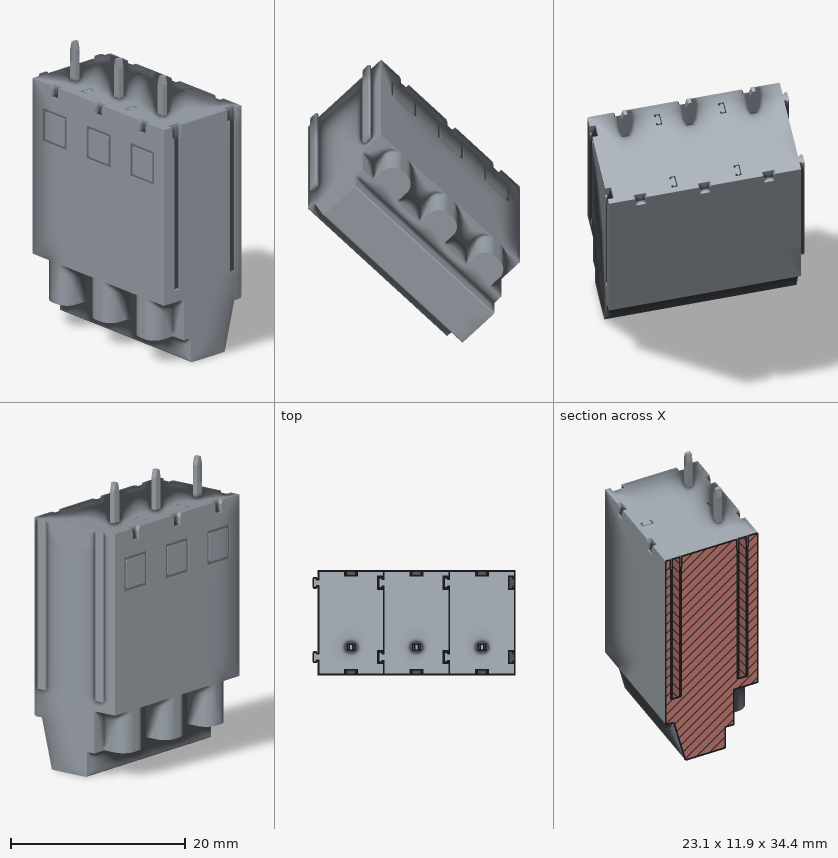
import cadquery as cq


MODULE_COUNT = 3
OVERALL_WIDTH = 23.1
TONGUE_REACH = 0.6
PITCH = (OVERALL_WIDTH - TONGUE_REACH) / MODULE_COUNT
MID_X = PITCH / 2
DEPTH = 11.9
TOTAL_HEIGHT = 34.35
PIN_LENGTH = 4.8
TOP_Z = TOTAL_HEIGHT - PIN_LENGTH

FOOT_FRONT_Y = 4.15
FOOT_BACK_Y = 9.35
FOOT_EDGE = 0.2
SLOPE_TOP_Y = 10.82
BACK_LEDGE_Z = 5.95

RECESS_BOTTOM_Z = 3.0
RECESS_TOP_Z = 8.0
RECESS_DEPTH = 3.05
POST_WIDTH = 3.85
POST_EDGE_RADIUS = 1.55

TONGUE_CENTERS_Y = (2.0, 10.5)
TONGUE_BOTTOM_Z = 9.45
HEAD_WIDTH = 1.2
HEAD_THICKNESS = 0.3
HEAD_CHAMFER = 0.15
NECK_WIDTH = 0.8
NECK_LENGTH = 0.15
SLOT_DEPTH = 0.7
SLOT_WIDTH = 1.45
LIP_THICKNESS = 0.25
LIP_INSET_Z = 1.45

NOTCH_WIDTH = 1.1
NOTCH_FLARE = 0.17
NOTCH_FLARE_HEIGHT = 0.48
NOTCH_HEIGHT = 1.45
NOTCH_DEPTH = 0.55

FRAME_SIZE = 4.1
PAD_SIZE = 3.35
PAD_CORNER_RADIUS = 0.2
FRAME_DEPTH = 0.17
FRAME_CENTER_Z = 24.32

PIN_WIDTH = 0.9
PIN_THICKNESS = 0.65
PIN_CENTER_Y = 3.13
PIN_TIP_WIDTH = 0.4
PIN_TAPER_HEIGHT = 0.95


def block():
    """Side outline of the module, extruded over one pitch."""
    outline = [
        (0, TOP_Z),
        (0, RECESS_BOTTOM_Z),
        (FOOT_FRONT_Y, RECESS_BOTTOM_Z),
        (FOOT_FRONT_Y, 0),
        (FOOT_BACK_Y, 0),
        (SLOPE_TOP_Y, BACK_LEDGE_Z),
        (DEPTH, BACK_LEDGE_Z),
        (DEPTH, TOP_Z),
    ]
    body = cq.Workplane("YZ").polyline(outline).close().extrude(PITCH)
    body = body.faces("<Z").edges("|X").fillet(FOOT_EDGE)
    ledge_corner = cq.selectors.NearestToPointSelector((MID_X, DEPTH, BACK_LEDGE_Z))
    return body.edges(ledge_corner).fillet(FOOT_EDGE)


def recess():
    """Front recess, leaving the round-edged post standing in the middle."""
    height = RECESS_TOP_Z - RECESS_BOTTOM_Z
    post = cq.Workplane("XY", origin=(MID_X, 0, RECESS_BOTTOM_Z)).box(
        POST_WIDTH, RECESS_DEPTH, height, centered=(True, False, False)
    )
    post = post.faces("<Y").edges("|Z").fillet(POST_EDGE_RADIUS)
    pocket = cq.Workplane("XY", origin=(0, 0, RECESS_BOTTOM_Z)).box(
        PITCH, RECESS_DEPTH, height, centered=False
    )
    return pocket.cut(post)


def tongue(center_y):
    """T-shaped tongue with sloping shoulders and chamfered corners on the left wall."""
    head = HEAD_WIDTH / 2
    neck = NECK_WIDTH / 2
    face = head - HEAD_CHAMFER
    chamfer_x = TONGUE_REACH - HEAD_CHAMFER
    shoulder_x = HEAD_THICKNESS - TONGUE_REACH
    outline = [
        (0, neck),
        (-NECK_LENGTH, neck),
        (shoulder_x, head),
        (-chamfer_x, head),
        (-TONGUE_REACH, face),
        (-TONGUE_REACH, -face),
        (-chamfer_x, -head),
        (shoulder_x, -head),
        (-NECK_LENGTH, -neck),
        (0, -neck),
    ]
    return (
        cq.Workplane("XY", origin=(0, center_y, TONGUE_BOTTOM_Z))
        .polyline(outline)
        .close()
        .extrude(TOP_Z - TONGUE_BOTTOM_Z)
    )


def slot(center_y):
    """Slot in the right wall: open at the top, narrowed by two lips below."""
    height = TOP_Z - TONGUE_BOTTOM_Z
    pocket = cq.Workplane("XY", origin=(PITCH - SLOT_DEPTH, center_y, TONGUE_BOTTOM_Z)).box(
        SLOT_DEPTH, SLOT_WIDTH, height, centered=(False, True, False)
    )
    wall = SLOT_WIDTH / 2
    neck = NECK_WIDTH / 2
    lip = [
        (0, neck),
        (-NECK_LENGTH, neck),
        (-LIP_THICKNESS, wall),
        (0, wall),
    ]
    lips = (
        cq.Workplane("XY", origin=(PITCH, center_y, TONGUE_BOTTOM_Z))
        .polyline(lip)
        .close()
        .extrude(height - LIP_INSET_Z)
    )
    lips = lips.union(lips.mirror("XZ", (0, center_y, 0)))
    return pocket.cut(lips)


def notch(start_y):
    """Notch from the top, flared at its mouth."""
    half = NOTCH_WIDTH / 2
    mouth = half + NOTCH_FLARE
    flare_z = -NOTCH_FLARE_HEIGHT
    outline = [
        (-half, -NOTCH_HEIGHT),
        (half, -NOTCH_HEIGHT),
        (half, flare_z),
        (mouth, 0),
        (-mouth, 0),
        (-half, flare_z),
    ]
    return (
        cq.Workplane("XZ", origin=(MID_X, start_y, TOP_Z))
        .polyline(outline)
        .close()
        .extrude(-NOTCH_DEPTH)
    )


def frame_groove():
    """Shallow square groove around a pad with rounded corners."""
    front = cq.Workplane("XZ", origin=(MID_X, 0, FRAME_CENTER_Z))
    pad = front.rect(PAD_SIZE, PAD_SIZE).extrude(-FRAME_DEPTH)
    pad = pad.edges("|Y").fillet(PAD_CORNER_RADIUS)
    return front.rect(FRAME_SIZE, FRAME_SIZE).extrude(-FRAME_DEPTH).cut(pad)


def pin():
    """Flat contact pin with a tapered tip."""
    half = PIN_WIDTH / 2
    tip = PIN_TIP_WIDTH / 2
    taper_z = PIN_LENGTH - PIN_TAPER_HEIGHT
    outline = [
        (-half, 0),
        (half, 0),
        (half, taper_z),
        (tip, PIN_LENGTH),
        (-tip, PIN_LENGTH),
        (-half, taper_z),
    ]
    return (
        cq.Workplane("XZ", origin=(MID_X, PIN_CENTER_Y, TOP_Z))
        .polyline(outline)
        .close()
        .extrude(PIN_THICKNESS / 2, both=True)
    )


def terminal_module():
    """One complete module, with its left wall at X = 0."""
    body = block().cut(recess())
    for center_y in TONGUE_CENTERS_Y:
        body = body.union(tongue(center_y)).cut(slot(center_y))
    for start_y in (0, DEPTH - NOTCH_DEPTH):
        body = body.cut(notch(start_y))
    return body.cut(frame_groove()).union(pin())


module = terminal_module().solids()
modules = [module.translate((i * PITCH, 0, 0)) for i in range(MODULE_COUNT)]

result = cq.Compound.makeCompound([item.val() for item in modules])